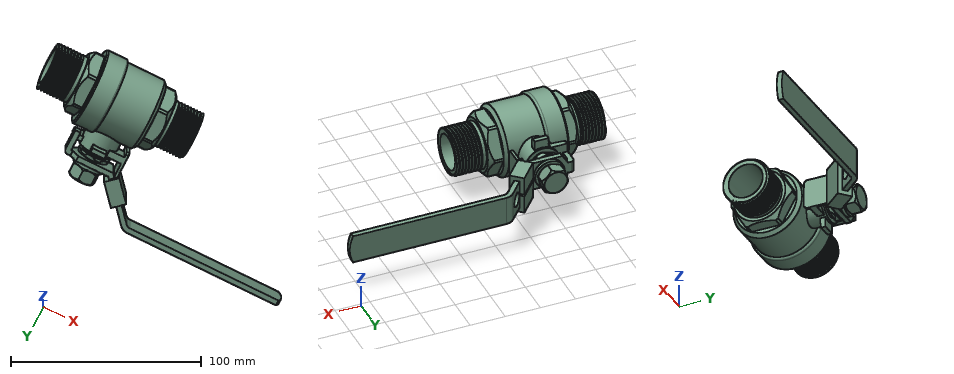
import cadquery as cq
import math


bore_diameter = 20.0
valve_length = 84.7
collar_start = 24.3
collar_end = 36.7
collar_diameter = 42.5
collar_bevel = 0.8
body_end = 60.3
body_diameter = 40.0
body_chamfer = 2.0

hex_across_flats = 31.5
hex_corner_diameter = 35.5
hex_face_diameter = 30.0
hex_bevel = 2.5
left_hex_start = 16.8
right_hex_end = 68.1

thread_diameter = 26.4
neck_diameter = 26.2
thread_root_diameter = 24.3
thread_pitch = 1.81
groove_offset = 1.63
thread_length = 14.5
groove_width = 1.7
groove_floor_width = 0.2
blank_seam_turn = 300.0
groove_lead_turns = 3
groove_clearance = 0.08

stem_x = 43.2
boss_diameter = 20.0
boss_top = 29.4
gland_diameter = 14.5
gland_top = 31.2
stem_diameter = 10.5
lock_nut_top = 33.5
lock_nut_top_diameter = 16.6
lock_nut_bottom_diameter = 18.3
lock_nut_across_flats = 17.1
washer_diameter = 16.8
washer_top = 39.5
nut_top = 47.3
nut_across_flats = 13.6
nut_face_diameter = 13.0
nut_turn = 15.0

lug_top = 28.2
lug_bottom = 24.3
lug_tip_bottom = 25.6
side_lug_reach = 15.0
side_lug_width = 8.0
side_lug_bevel = 1.0
end_lug_tip_x = 28.5
end_lug_high = 8.5
end_lug_low = -3.0

sheet = 3.0
lever_width = 17.0
lever_top = 60.5
base_top = 37.5
lever_angle = 49.0
base_bend_x = 54.3
outer_bend_radius = 6.3
lever_tip_x = 166.1
lever_tip_sagitta = 1.8
base_shoulder_x = 35.4
tab_neck_x = 32.0
tab_outer_x = 28.2
tab_width = 6.6
tab_bottom = 24.0
tab_bend_radius = 2.2
hole_diameter = 8.0
hole_height = 53.3

sleeve_wall = 2.7
sleeve_length = 14.6
sleeve_start = 1.5
sleeve_slot_width = 1.2
lock_plate_x = 57.1
lock_plate_thickness = 1.7
lock_plate_top = 36.0
lock_plate_bottom = 21.3
lock_plate_corner = 1.3


def x_cylinder(diameter, start, end):
    """Cylinder on the bore axis between two X positions."""
    return cq.Workplane("YZ", origin=(start, 0, 0)).circle(diameter / 2).extrude(end - start)


def stem_plane(height):
    """Workplane across the stem, facing +Y, with local x along X and local y along -Z."""
    return cq.Workplane("XZ", origin=(stem_x, height, 0)).workplane(invert=True)


def stem_cylinder(diameter, bottom, top):
    return stem_plane(bottom).circle(diameter / 2).extrude(top - bottom)


def block(x_range, y_range, z_range):
    """Box between the given limits on each axis."""
    sizes = [limits[1] - limits[0] for limits in (x_range, y_range, z_range)]
    corner = (x_range[0], y_range[0], z_range[0])
    return cq.Workplane("XY").box(*sizes, centered=False).translate(corner)


def hex_corners(across_flats, turn_degrees):
    """Corner points of a hexagon, the first at the given angle."""
    radius = across_flats / math.sqrt(3)
    angles = [math.radians(turn_degrees + 60 * i) for i in range(6)]
    return [(radius * math.cos(a), radius * math.sin(a)) for a in angles]


def fitting_hex(outer_x, inner_x):
    """Hexagon with rounded corners, bevelled at its outer end."""
    bevel_x = outer_x + math.copysign(hex_bevel, inner_x - outer_x)
    prism = (
        cq.Workplane("YZ", origin=(min(outer_x, inner_x), 0, 0))
        .polyline(hex_corners(hex_across_flats, 0))
        .close()
        .extrude(abs(inner_x - outer_x))
    )
    envelope = (
        cq.Workplane("XY")
        .moveTo(outer_x, 0)
        .lineTo(outer_x, hex_face_diameter / 2)
        .lineTo(bevel_x, hex_corner_diameter / 2)
        .lineTo(inner_x, hex_corner_diameter / 2)
        .lineTo(inner_x, 0)
        .close()
        .revolve(360, (0, 0, 0), (1, 0, 0))
    )
    return prism.intersect(envelope)


def make_thread(start):
    """Cylinder with a right-hand helical V groove that runs off both ends."""
    groove_radius = thread_diameter / 2 + groove_clearance
    floor_radius = thread_root_diameter / 2
    helix = cq.Wire.makeHelix(thread_pitch, thread_length + groove_lead_turns * thread_pitch, groove_radius)
    groove = (
        cq.Workplane("XZ")
        .moveTo(groove_radius, -groove_width / 2)
        .lineTo(floor_radius, -groove_floor_width / 2)
        .lineTo(floor_radius, groove_floor_width / 2)
        .lineTo(groove_radius, groove_width / 2)
        .close()
        .sweep(cq.Workplane(helix), isFrenet=True)
        .translate((0, 0, groove_offset - thread_pitch))
    )
    blank = cq.Workplane("XY").circle(thread_diameter / 2).extrude(thread_length)
    blank = blank.rotate((0, 0, 0), (0, 0, 1), blank_seam_turn)
    return blank.cut(groove).rotate((0, 0, 0), (1, 1, 1), 120).translate((start, 0, 0))


def make_body():
    right_thread_start = valve_length - thread_length
    step = (collar_diameter - body_diameter) / 2
    collar = (
        cq.Workplane("XY")
        .moveTo(collar_start, 0)
        .lineTo(collar_start, collar_diameter / 2 - collar_bevel)
        .lineTo(collar_start + collar_bevel, collar_diameter / 2)
        .lineTo(collar_end - step, collar_diameter / 2)
        .radiusArc((collar_end, body_diameter / 2), step)
        .lineTo(collar_end, 0)
        .close()
        .revolve(360, (0, 0, 0), (1, 0, 0))
    )
    barrel = x_cylinder(body_diameter, collar_end, body_end).faces(">X").chamfer(body_chamfer)
    neck = x_cylinder(neck_diameter, thread_length, right_thread_start)
    body = collar.union(barrel).union(neck)
    body = body.union(fitting_hex(left_hex_start, collar_start + collar_bevel))
    body = body.union(fitting_hex(right_hex_end, body_end - body_chamfer))
    body = body.union(make_thread(0))
    return body.union(make_thread(right_thread_start))


def hex_nut(across_flats, bottom, top, envelope_points):
    """Hexagon on the stem, trimmed by a revolved outline of (radius, height) points."""
    prism = stem_plane(bottom).polyline(hex_corners(across_flats, -nut_turn)).close().extrude(top - bottom)
    envelope = (
        cq.Workplane("XY", origin=(stem_x, 0, 0))
        .polyline([(0, bottom)] + envelope_points + [(0, top)])
        .close()
        .revolve(360, (0, 0, 0), (0, 1, 0))
    )
    return prism.intersect(envelope)


def make_stem():
    stem = stem_cylinder(boss_diameter, 0, boss_top)
    stem = stem.union(stem_cylinder(gland_diameter, boss_top, gland_top))
    stem = stem.union(stem_cylinder(stem_diameter, gland_top, washer_top))
    lock_nut_outline = [(lock_nut_bottom_diameter / 2, gland_top), (lock_nut_top_diameter / 2, lock_nut_top)]
    stem = stem.union(hex_nut(lock_nut_across_flats, gland_top, lock_nut_top, lock_nut_outline))
    stem = stem.union(stem_cylinder(washer_diameter, base_top, washer_top))
    corner_radius = nut_across_flats / math.sqrt(3)
    face_radius = nut_face_diameter / 2
    bevel = corner_radius - face_radius
    nut_outline = [
        (face_radius, washer_top),
        (corner_radius, washer_top + bevel),
        (corner_radius, nut_top - bevel),
        (face_radius, nut_top),
    ]
    return stem.union(hex_nut(nut_across_flats, washer_top, nut_top, nut_outline))


def make_lugs():
    """Two side lugs along Z and two end lugs along X, all rooted inside the boss."""
    side_x = (stem_x - side_lug_width / 2, stem_x + side_lug_width / 2)
    upper = block(side_x, (lug_bottom, lug_top), (0, side_lug_reach))
    upper = upper.edges("<Y and >Z").chamfer(side_lug_bevel)
    lower = (
        cq.Workplane("YZ", origin=(side_x[0], 0, 0))
        .moveTo(lug_top, 0)
        .lineTo(lug_top, -side_lug_reach)
        .lineTo(lug_tip_bottom, -side_lug_reach)
        .lineTo(lug_bottom, 0)
        .close()
        .extrude(side_lug_width)
    )
    left = (
        cq.Workplane("XY", origin=(0, 0, end_lug_low))
        .moveTo(stem_x, lug_top)
        .lineTo(end_lug_tip_x, lug_top)
        .lineTo(end_lug_tip_x, lug_tip_bottom)
        .lineTo(stem_x, lug_bottom)
        .close()
        .extrude(end_lug_high - end_lug_low)
    )
    right = block((stem_x, lock_plate_x), (lug_bottom, lug_top), (-end_lug_high, -end_lug_low))
    return upper.union(lower).union(left).union(right)


def slope_plane(x, y):
    """Workplane on the sloping lever face, with local x up the slope and local y along -Z."""
    angle = math.radians(lever_angle)
    up_slope = (math.cos(angle), math.sin(angle), 0)
    outward = (-math.sin(angle), math.cos(angle), 0)
    return cq.Workplane(cq.Plane(origin=(x, y, 0), xDir=up_slope, normal=outward))


def round_bend(sheet_solid, x, y, radius):
    """Round the edge along Z that passes through (x, y)."""
    edge = cq.selectors.NearestToPointSelector((x, y, 0))
    return sheet_solid.edges("|Z").edges(edge).fillet(radius)


def make_lever():
    """Sheet bent up from the base, straightened along the handle, with a stop tab turned down."""
    slope = math.tan(math.radians(lever_angle))
    top_bend_x = base_bend_x + (lever_top - base_top) / slope
    mitre = sheet * math.tan(math.radians(lever_angle / 2))
    tab_inner_x = tab_outer_x + sheet
    upper = [(base_bend_x, base_top), (top_bend_x, lever_top), (lever_tip_x, lever_top)]
    lower = [(lever_tip_x, lever_top - sheet)]
    lower += [(x + mitre, y - sheet) for x, y in (upper[1], upper[0])]
    profile = [(tab_outer_x, base_top)] + upper + lower
    profile += [(tab_inner_x, base_top - sheet), (tab_inner_x, tab_bottom), (tab_outer_x, tab_bottom)]
    strip = cq.Workplane("XY").polyline(profile).close().extrude(lever_width / 2, both=True)

    strip = round_bend(strip, top_bend_x, lever_top, outer_bend_radius)
    strip = round_bend(strip, top_bend_x + mitre, lever_top - sheet, outer_bend_radius - sheet)
    strip = round_bend(strip, tab_outer_x, base_top, tab_bend_radius)

    half_width = lever_width / 2
    half_tab = tab_width / 2
    corner_x = lever_tip_x - lever_tip_sagitta
    plan = (
        cq.Workplane("XZ")
        .moveTo(tab_outer_x, half_tab)
        .lineTo(tab_neck_x, half_tab)
        .lineTo(base_shoulder_x, half_width)
        .lineTo(corner_x, half_width)
        .threePointArc((lever_tip_x, 0), (corner_x, -half_width))
        .lineTo(base_shoulder_x, -half_width)
        .lineTo(tab_neck_x, -half_tab)
        .lineTo(tab_outer_x, -half_tab)
        .close()
        .extrude(-2 * lever_top)
    )
    hole_x = base_bend_x + (hole_height - base_top) / slope
    hole = slope_plane(hole_x, hole_height).circle(hole_diameter / 2).extrude(sheet, both=True)
    return strip.intersect(plan).cut(hole)


def make_sleeve():
    """Sleeve wrapped around the lever, open along a narrow slot in its outer face."""
    face = slope_plane(base_bend_x, base_top)
    middle = sleeve_start + sleeve_length / 2
    outer_depth = sheet + 2 * sleeve_wall
    outer = (
        face.workplane(offset=sleeve_wall - outer_depth)
        .center(middle, 0)
        .rect(sleeve_length, lever_width + 2 * sleeve_wall)
        .extrude(outer_depth)
    )
    pocket = face.workplane(offset=-sheet).center(middle, 0).rect(sleeve_length, lever_width).extrude(sheet)
    slot = face.center(middle, 0).rect(sleeve_length, sleeve_slot_width).extrude(sleeve_wall)
    return outer.cut(pocket).cut(slot)


def make_lock_plate():
    plate = block(
        (lock_plate_x, lock_plate_x + lock_plate_thickness),
        (lock_plate_bottom, lock_plate_top),
        (-lever_width / 2, lever_width / 2),
    )
    return plate.edges("|X and <Y").chamfer(lock_plate_corner)


result = make_body()
for piece in (make_stem(), make_lugs(), make_lever(), make_sleeve(), make_lock_plate()):
    result = result.union(piece)
result = result.cut(x_cylinder(bore_diameter, 0, valve_length))